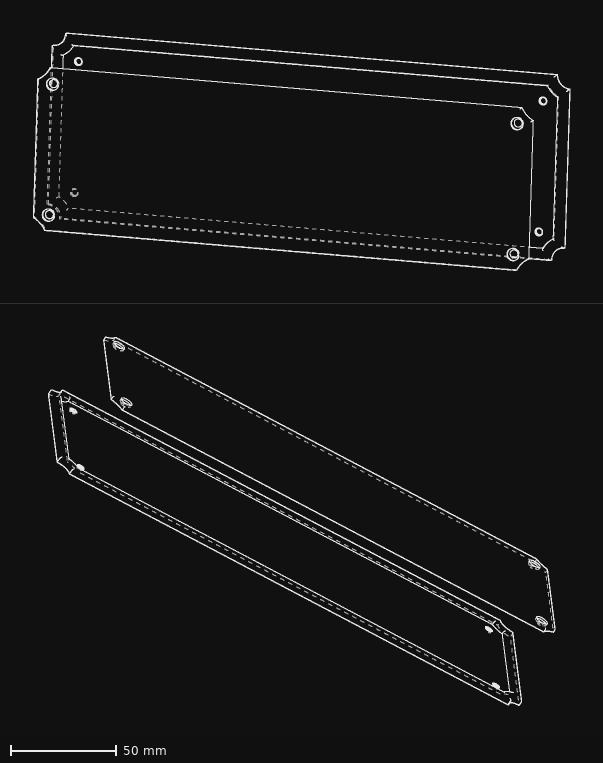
import cadquery as cq
import math

LEAN_ANGLE = 6.0

FRAME_LENGTH = 257.3
FRAME_HEIGHT = 89.5
FRAME_THICKNESS = 3.0
FRAME_BITE_RADIUS = 6.5
FRAME_EDGE_FILLET = 1.0

RIM_WIDTH = 5.5
RECESS_DEPTH = 2.0
RECESS_BITE_RADIUS = FRAME_BITE_RADIUS + RIM_WIDTH
RECESS_EDGE_FILLET = 0.9

PLATE_CLEARANCE = 0.13
PLATE_INSET = RIM_WIDTH + PLATE_CLEARANCE
PLATE_BITE_RADIUS = 12.5
PLATE_THICKNESS = RECESS_DEPTH
PLATE_EDGE_FILLET = 0.5
PLATE_OFFSET = 40.5

HOLE_SPACING_X = 231.3
HOLE_SPACING_Z = 63.3
FRAME_HOLE_DIAMETER = 3.0
FRAME_HOLE_CHAMFER = 0.39
HEAD_DIAMETER = 6.0
HEAD_DEPTH = 1.0
PLATE_HOLE_DIAMETER = 3.9


def bitten_panel(inset, bite_radius, thickness):
    """Panel lying `inset` inside the frame's outline.

    Its round corner bites are centred on the frame's sharp corners.
    """
    half_x = FRAME_LENGTH / 2 - inset
    half_z = FRAME_HEIGHT / 2 - inset
    bite_length = math.sqrt(bite_radius**2 - inset**2) - inset
    bite_middle = bite_radius * math.sqrt(0.5) - inset

    outline = cq.Workplane("XZ").moveTo(-half_x + bite_length, -half_z)
    for side_x, side_z in ((1, -1), (1, 1), (-1, 1), (-1, -1)):
        on_long_edge = (side_x * (half_x - bite_length), side_z * half_z)
        on_short_edge = (side_x * half_x, side_z * (half_z - bite_length))
        middle = (side_x * (half_x - bite_middle), side_z * (half_z - bite_middle))
        if side_x * side_z < 0:
            start, end = on_long_edge, on_short_edge
        else:
            start, end = on_short_edge, on_long_edge
        outline = outline.lineTo(*start).threePointArc(middle, end)
    return outline.close().extrude(thickness)


def screw_points(height):
    """The four screw positions, `height` in front of the back of a body."""
    plane = cq.Workplane("XZ", origin=(0, -height, 0))
    return plane.rect(HOLE_SPACING_X, HOLE_SPACING_Z, forConstruction=True).vertices()


def straight_cutters(diameter, start, depth):
    """Cylinders on the screw positions that run forward from height `start`."""
    return screw_points(start).circle(diameter / 2).extrude(depth)


def cone_cutters(small_diameter, large_diameter, start, depth):
    """Cones on the screw positions that widen forward from height `start`."""
    cone = cq.Solid.makeCone(small_diameter / 2, large_diameter / 2, depth)
    return screw_points(start).eachpoint(lambda place: cone.moved(place), useLocalCoordinates=True)


def lean(body, thickness):
    """Centre an upright body on its thickness and lean it back about the X axis."""
    centred = body.translate((0, thickness / 2, 0))
    return centred.rotate((0, 0, 0), (1, 0, 0), -LEAN_ANGLE)


def make_frame():
    """Panel with rounded front edges around a recess, and four chamfered holes."""
    floor_height = FRAME_THICKNESS - RECESS_DEPTH
    body = bitten_panel(0, FRAME_BITE_RADIUS, FRAME_THICKNESS)
    body = body.faces("<Y").edges().fillet(FRAME_EDGE_FILLET)

    recess = bitten_panel(RIM_WIDTH, RECESS_BITE_RADIUS, RECESS_DEPTH)
    body = body.cut(recess.translate((0, -floor_height, 0)))
    recess_rim = body.faces("<Y").val().innerWires()[0]
    body = body.newObject(recess_rim.Edges()).fillet(RECESS_EDGE_FILLET)

    body = body.cut(straight_cutters(FRAME_HOLE_DIAMETER, 0, floor_height))
    mouth_diameter = FRAME_HOLE_DIAMETER + 2 * FRAME_HOLE_CHAMFER
    chamfer_start = floor_height - FRAME_HOLE_CHAMFER
    body = body.cut(
        cone_cutters(FRAME_HOLE_DIAMETER, mouth_diameter, chamfer_start, FRAME_HOLE_CHAMFER)
    )
    return lean(body, FRAME_THICKNESS)


def make_plate():
    """Panel with a rounded front edge and four countersunk holes."""
    body = bitten_panel(PLATE_INSET, PLATE_BITE_RADIUS, PLATE_THICKNESS)
    body = body.faces("<Y").edges().fillet(PLATE_EDGE_FILLET)

    cone_depth = PLATE_THICKNESS - HEAD_DEPTH
    body = body.cut(straight_cutters(HEAD_DIAMETER, cone_depth, HEAD_DEPTH))
    body = body.cut(cone_cutters(PLATE_HOLE_DIAMETER, HEAD_DIAMETER, 0, cone_depth))
    return lean(body, PLATE_THICKNESS).translate((0, -PLATE_OFFSET, 0))


frame = make_frame()
plate = make_plate()

result = cq.Compound.makeCompound([frame.val(), plate.val()])